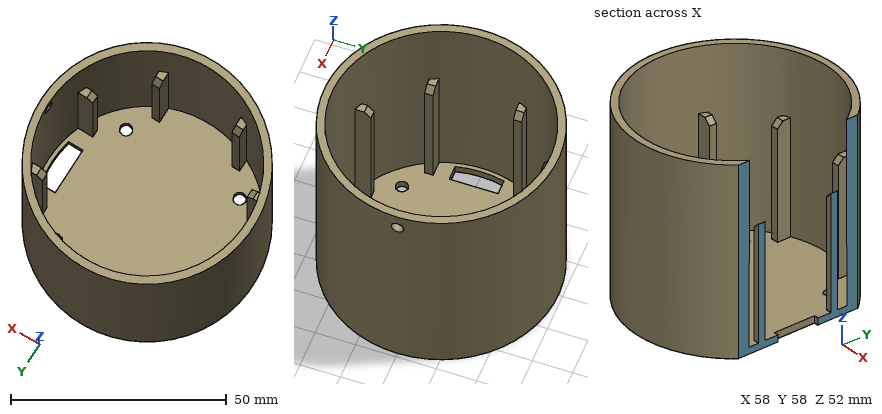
import cadquery as cq

outer_diameter = 58
inner_diameter = 54.0
height = 52.0
wall = (outer_diameter - inner_diameter) / 2
floor = wall

hole_diameter = 3.0
floor_hole_offset = 15.55
wall_hole_depth = 4.0

window_inner_x = 21.4
window_radius = 26.0
window_width = 12.05

rib_width = 2.1
rib_offset = 10.95
rib_inner = 21.1
rib_outer = 25.5
rib_top = 34.0
rib_chamfer = 1.6


def make_cup():
    body = cq.Workplane("XY").circle(outer_diameter / 2).extrude(height)
    cavity = cq.Workplane("XY").workplane(offset=floor).circle(inner_diameter / 2).extrude(height)
    return body.cut(cavity)


def make_rib(side_offset):
    """Rib on the +X side, chamfered at its top inner edge and buried in the wall."""
    return (
        cq.Workplane("XZ", origin=(0, side_offset, 0))
        .moveTo(rib_inner, floor / 2)
        .lineTo(rib_outer, floor / 2)
        .lineTo(rib_outer, rib_top)
        .lineTo(rib_inner + rib_chamfer, rib_top)
        .lineTo(rib_inner, rib_top - rib_chamfer)
        .close()
        .extrude(rib_width / 2, both=True)
    )


def make_windows():
    disc = cq.Workplane("XY").circle(window_radius).extrude(floor)
    strip = cq.Workplane("XY").rect(2 * window_radius, window_width).extrude(floor)
    middle = cq.Workplane("XY").rect(2 * window_inner_x, window_width).extrude(floor)
    return disc.intersect(strip).cut(middle)


def make_floor_holes():
    spacing = 2 * floor_hole_offset
    return (
        cq.Workplane("XY")
        .rarray(spacing, spacing, 2, 2)
        .circle(hole_diameter / 2)
        .extrude(floor)
    )


def make_wall_hole():
    return (
        cq.Workplane("YZ")
        .center(0, height - wall_hole_depth)
        .circle(hole_diameter / 2)
        .extrude(outer_diameter / 2)
    )


result = make_cup()
for angle in (0, 90, 180, 270):
    for side in (-rib_offset, rib_offset):
        result = result.union(make_rib(side).rotate((0, 0, 0), (0, 0, 1), angle))

result = result.cut(make_windows()).cut(make_floor_holes()).cut(make_wall_hole())